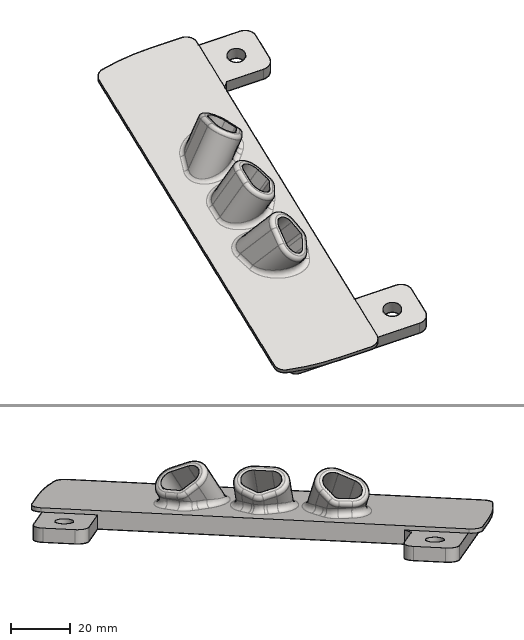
import cadquery as cq
import math

plate_width = 154.0
plate_depth = 37.0
plate_thickness = 1.5
plate_corner_radius = 4.0
side_straight_start = 21.5
side_curve_radius = 80.0

base_width = 145.5
base_thickness = 5.0
base_front = 5.9
base_corner_radius = 2.5
front_bulge = 0.8
bulge_outer_half_width = 68.0
bulge_inner_half_width = 64.5
overall_depth = 56.8
tab_width = 19.0
tab_corner_radius = 4.0
tab_hole_diameter = 6.3
tab_hole_setback = 9.7
gusset_width = 2.8
gusset_depth = 2.2

nozzle_pitch = 24.0
nozzle_lean_back = 35.0
nozzle_splay = 21.0
nozzle_front = 10.4
nozzle_front_length = 17.3
nozzle_wall = 2.6
bore_floor_half_width = 3.05
bore_side_radius = 3.9
bore_roof_angle = 27.0
bore_peak_radius = 1.5
mouth_fillet = 1.5
root_fillet = 1.9

plate_top = base_thickness + plate_thickness
tab_center_x = (base_width - tab_width) / 2
tab_inner_x = base_width / 2 - tab_width
flatness = 0.01
nozzle_buried_length = 2 * nozzle_front_length


def make_plate():
    half_width = plate_width / 2
    curve_angle = math.asin(side_straight_start / side_curve_radius)
    front_half_width = half_width - side_curve_radius * (1 - math.cos(curve_angle))
    mid_half_width = half_width - side_curve_radius * (1 - math.cos(curve_angle / 2))
    mid_y = side_straight_start - side_curve_radius * math.sin(curve_angle / 2)
    plate = (
        cq.Workplane("XY", origin=(0, 0, base_thickness))
        .moveTo(-front_half_width, 0)
        .lineTo(front_half_width, 0)
        .threePointArc((mid_half_width, mid_y), (half_width, side_straight_start))
        .lineTo(half_width, plate_depth)
        .lineTo(-half_width, plate_depth)
        .lineTo(-half_width, side_straight_start)
        .threePointArc((-mid_half_width, mid_y), (-front_half_width, 0))
        .close()
        .extrude(plate_thickness)
    )
    outline_corners = plate.edges("|Z and (<Y or >Y)")
    return outline_corners.fillet(plate_corner_radius)


def make_base():
    half_width = base_width / 2
    block = (
        cq.Workplane("XY")
        .moveTo(-half_width, base_front)
        .lineTo(-bulge_outer_half_width, base_front)
        .lineTo(-bulge_inner_half_width, base_front - front_bulge)
        .lineTo(bulge_inner_half_width, base_front - front_bulge)
        .lineTo(bulge_outer_half_width, base_front)
        .lineTo(half_width, base_front)
        .lineTo(half_width, plate_depth)
        .lineTo(-half_width, plate_depth)
        .close()
        .extrude(base_thickness)
    )
    block = block.edges("|Z and (<X or >X)").edges("<Y").fillet(base_corner_radius)
    return block.union(make_tab(-1)).union(make_tab(1)).union(make_gusset())


def make_tab(side):
    tab_length = overall_depth - base_front - base_corner_radius
    tab = (
        cq.Workplane("XY")
        .center(side * tab_center_x, overall_depth - tab_length / 2)
        .rect(tab_width, tab_length)
        .extrude(base_thickness)
        .edges("|Z and >Y")
        .fillet(tab_corner_radius)
    )
    hole = (
        cq.Workplane("XY")
        .center(side * tab_center_x, overall_depth - tab_hole_setback)
        .circle(tab_hole_diameter / 2)
        .extrude(base_thickness)
    )
    return tab.cut(hole)


def make_gusset():
    return (
        cq.Workplane("XY")
        .moveTo(-tab_inner_x, plate_depth)
        .lineTo(-tab_inner_x + gusset_width, plate_depth)
        .lineTo(-tab_inner_x, plate_depth + gusset_depth)
        .close()
        .extrude(base_thickness)
    )


def ridged_prism(grow, start, end):
    """Prism along Z with the bore's section offset outward by grow: flat floor, round sides, ridged roof.

    The outer face of the front wall lies on Y = 0.
    """
    roof_angle = math.radians(bore_roof_angle)
    floor_y = nozzle_wall - grow
    side_radius = bore_side_radius + grow
    side_y = nozzle_wall + bore_side_radius
    arc_mid_x = bore_floor_half_width + side_radius * math.cos(roof_angle / 2)
    arc_mid_y = side_y - side_radius * math.sin(roof_angle / 2)
    roof_x = bore_floor_half_width + side_radius * math.sin(roof_angle)
    roof_y = side_y + side_radius * math.cos(roof_angle)
    peak_radius = bore_peak_radius + grow
    peak_x = peak_radius * math.sin(roof_angle)
    peak_side_y = roof_y + (roof_x - peak_x) * math.tan(roof_angle)
    peak_y = peak_side_y + peak_radius * (1 - math.cos(roof_angle))
    return (
        cq.Workplane("XY", origin=(0, 0, start))
        .moveTo(-bore_floor_half_width, floor_y)
        .lineTo(bore_floor_half_width, floor_y)
        .threePointArc((arc_mid_x, arc_mid_y), (roof_x, roof_y))
        .lineTo(peak_x, peak_side_y)
        .threePointArc((0, peak_y), (-peak_x, peak_side_y))
        .lineTo(-roof_x, roof_y)
        .threePointArc((-arc_mid_x, arc_mid_y), (-bore_floor_half_width, floor_y))
        .close()
        .extrude(end - start)
    )


def place_nozzle(shape, side):
    """Lean a shape built along Z back, splay it sideways and move it to its place on the plate."""
    return (
        shape.rotate((0, 0, 0), (1, 0, 0), -nozzle_lean_back)
        .rotate((0, 0, 0), (0, 1, 0), side * nozzle_splay)
        .translate((side * nozzle_pitch, nozzle_front, plate_top))
    )


def block_on_plate_top(height):
    """Wide block standing on the plate's top face, or hanging below it if the height is negative."""
    return (
        cq.Workplane("XY", origin=(0, 0, plate_top))
        .rect(2 * plate_width, 2 * plate_width)
        .extrude(height)
    )


def make_nozzle(side):
    """Solid nozzle with a rounded mouth and root, standing on the plate's top face."""
    outer = ridged_prism(nozzle_wall, -nozzle_buried_length, nozzle_front_length)
    outer = place_nozzle(outer.faces(">Z").edges().fillet(mouth_fillet), side)
    slab = block_on_plate_top(-plate_thickness)
    nozzle_on_slab = slab.union(outer.intersect(block_on_plate_top(nozzle_buried_length)))
    root_outline = cq.selectors.BoxSelector(
        (-plate_width / 2, 0, plate_top - flatness),
        (plate_width / 2, plate_depth, plate_top + flatness),
    )
    return nozzle_on_slab.edges(root_outline).fillet(root_fillet).cut(slab)


def make_bore(side):
    return place_nozzle(ridged_prism(0, -nozzle_buried_length, nozzle_front_length), side)


right_nozzle = make_nozzle(1)
nozzles = [right_nozzle.mirror("YZ"), make_nozzle(0), right_nozzle]

result = make_base().union(make_plate())
for nozzle in nozzles:
    result = result.union(nozzle)
for nozzle_side in (-1, 0, 1):
    result = result.cut(make_bore(nozzle_side))